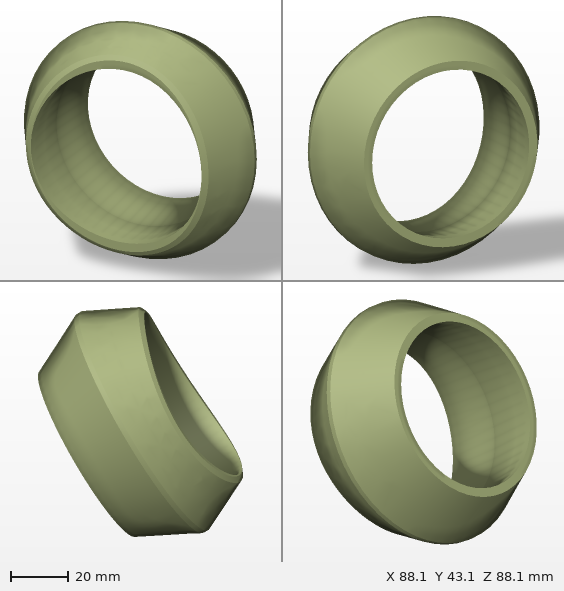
import math

import cadquery as cq


rim_radius = 44.05
rim_back_depth = 21.5
rim_width = 1.85
back_radius = 33.3

back_bore_radius = 30.1
throat_radius = 32.6
throat_depth = 21.15

length = 43.1
inner_half_width = 32.8
inner_half_height = 35.8
inner_crown_depth = 38.2
outer_half_width = 34.9
outer_half_height = 37.45
outer_crown_depth = 37.0
outer_side_depth = 42.1

saddle_drop = length - inner_crown_depth
mouth_side_depth = inner_crown_depth + saddle_drop * (throat_radius / inner_half_width) ** 2

curve_points = 32


def ring(radius, depth):
    """Circle about the Y axis, starting on +X and turning towards +Z."""
    plane = cq.Plane(origin=(0, -depth, 0), xDir=(1, 0, 0), normal=(0, -1, 0))
    return cq.Workplane(plane).circle(radius).val().Edges()[0]


def saddle_curve(half_width, half_height, crown_depth, side_depth):
    """Oval that lies at crown_depth at top and bottom and at side_depth at both sides."""
    points = []
    for index in range(curve_points):
        angle = 2 * math.pi * index / curve_points
        depth = crown_depth + (side_depth - crown_depth) * math.cos(angle) ** 2
        points.append(cq.Vector(half_width * math.cos(angle), -depth, half_height * math.sin(angle)))
    return cq.Edge.makeSpline(points, periodic=True)


back_outer_edge = ring(back_radius, 0)
rim_back_edge = ring(rim_radius, rim_back_depth)
rim_front_edge = ring(rim_radius, rim_back_depth + rim_width)
outer_lip_edge = saddle_curve(outer_half_width, outer_half_height, outer_crown_depth, outer_side_depth)
inner_lip_edge = saddle_curve(inner_half_width, inner_half_height, inner_crown_depth, length)
mouth_edge = saddle_curve(throat_radius, throat_radius, inner_crown_depth, mouth_side_depth)
throat_edge = ring(throat_radius, throat_depth)
back_bore_edge = ring(back_bore_radius, 0)

edges = [
    back_outer_edge,
    rim_back_edge,
    rim_front_edge,
    outer_lip_edge,
    inner_lip_edge,
    mouth_edge,
    throat_edge,
    back_bore_edge,
]
skin_faces = [cq.Face.makeRuledSurface(first, second) for first, second in zip(edges, edges[1:])]

back_face = cq.Face.makeFromWires(
    cq.Wire.assembleEdges([back_outer_edge]),
    [cq.Wire.assembleEdges([back_bore_edge])],
)

skin = cq.Shell.makeShell(skin_faces + [back_face])
result = cq.Workplane(cq.Solid.makeSolid(skin).fix())